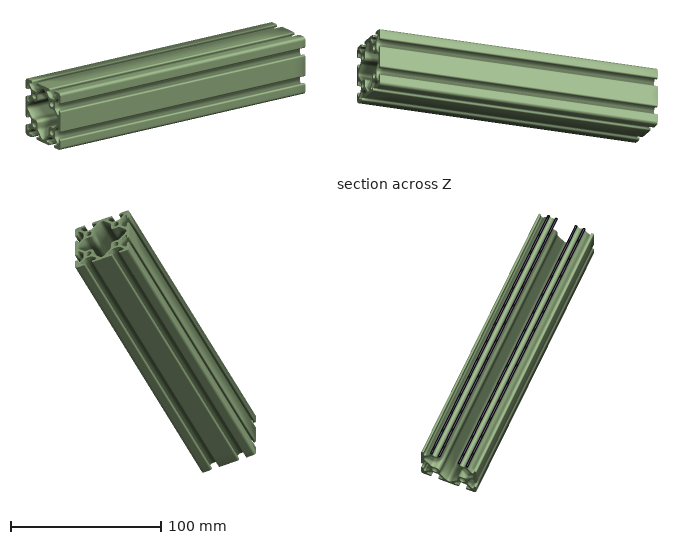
import cadquery as cq

length = 200.0
side = 40.0
half_side = side / 2
corner_radius = 2.0

bore_pitch = 20.0
bore_offset = bore_pitch / 2
bore_diameter = 4.2

boss_half = 3.5
boss_radius = 2.5
boss_blend_radius = 3.0
web_thickness = 1.5
web_reach = web_thickness / 2 * 2**0.5

slot_mouth = 5.0
slot_half_mouth = slot_mouth / 2
slot_end_radius = 0.9
lip_thickness = 1.8
lip_radius = 1.0

cavity_tip_radius = 2.5

edge_tolerance = 0.02


def prism(outline):
    """Extrude an XZ outline along the whole length, centred on Y = 0."""
    return outline.extrude(length / 2, both=True)


def four_sides(body):
    """Return the body together with its copies on the other three sides."""
    copies = body
    for quarter in range(1, 4):
        copies = copies.union(body.rotate((0, 0, 0), (0, 1, 0), 90 * quarter))
    return copies


def bar():
    """Solid square bar with rounded lengthwise corners."""
    return prism(cq.Workplane("XZ").rect(side, side)).edges("|Y").fillet(corner_radius)


def slot(center_x):
    """T-slot in the +Z side, from the boss face to the mouth."""
    floor_z = bore_offset + boss_half
    ceiling_z = half_side - lip_thickness
    floor_half = boss_half - web_reach
    tip_half = ceiling_z - bore_offset - web_reach
    half_outline = [
        (floor_half, floor_z),
        (tip_half, ceiling_z),
        (slot_half_mouth, ceiling_z),
        (slot_half_mouth, half_side),
    ]
    right = [(center_x + x, z) for x, z in half_outline]
    left = [(center_x - x, z) for x, z in reversed(half_outline)]
    body = prism(cq.Workplane("XZ").polyline(right + left).close())
    body = body.faces("<Z").edges("|Y").fillet(boss_blend_radius)
    tips = body.edges("|Y and <X").add(body.edges("|Y and >X"))
    return body.newObject(tips.vals()).fillet(slot_end_radius)


def mouth_rounding(center_x):
    """Material removed to round the two outer edges of a slot mouth."""
    flare_half = slot_half_mouth + lip_radius
    return prism(
        cq.Workplane("XZ")
        .moveTo(center_x - flare_half, half_side)
        .radiusArc((center_x - slot_half_mouth, half_side - lip_radius), lip_radius)
        .lineTo(center_x + slot_half_mouth, half_side - lip_radius)
        .radiusArc((center_x + flare_half, half_side), lip_radius)
        .close()
    )


def edges_at(x, z):
    """Selector for the lengthwise edges at (+-x, +-z) and (+-z, +-x)."""
    selector = None
    for size_x, size_z in {(x, z), (z, x)}:
        for sign_x in (-1, 1):
            for sign_z in (-1, 1):
                center = (sign_x * size_x, 0, sign_z * size_z)
                spot = cq.selectors.BoxSelector(
                    tuple(c - edge_tolerance for c in center),
                    tuple(c + edge_tolerance for c in center),
                )
                selector = spot if selector is None else selector + spot
    return selector


def cavity():
    """Cross-shaped centre cavity: four lobes with rounded tips between the bosses."""
    inner_x = bore_offset - boss_half
    web_line = bore_pitch - web_reach
    web_foot_z = web_line - inner_x
    right = [(inner_x, 0), (inner_x, web_foot_z), (0, web_line)]
    left = [(-x, z) for x, z in reversed(right[:-1])]
    cross = four_sides(prism(cq.Workplane("XZ").polyline(right + left).close()))
    cross = cross.edges(edges_at(inner_x, inner_x)).fillet(boss_radius)
    cross = cross.edges(edges_at(inner_x, web_foot_z)).fillet(boss_blend_radius)
    return cross.edges(edges_at(0, web_line)).fillet(cavity_tip_radius)


def bores():
    """The four through bores."""
    return prism(
        cq.Workplane("XZ")
        .rect(bore_pitch, bore_pitch, forConstruction=True)
        .vertices()
        .circle(bore_diameter / 2)
    )


top_cuts = slot(bore_offset).union(slot(-bore_offset))
for center_x in (-bore_offset, bore_offset):
    top_cuts = top_cuts.union(mouth_rounding(center_x))

result = bar().cut(four_sides(top_cuts)).cut(cavity()).cut(bores())